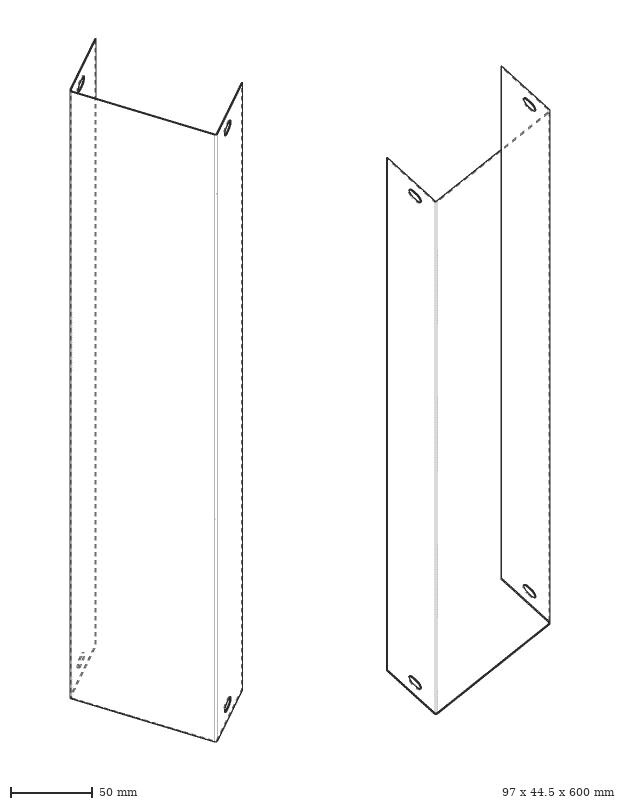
import cadquery as cq

width = 97.0
depth = 44.5
height = 600.0
sheet = 0.8
inner_bend_radius = 0.8
outer_bend_radius = inner_bend_radius + sheet

slot_length = 11.0
slot_height = 8.0
slot_from_web = 19.0
slot_from_end = 15.0


def make_channel():
    """U section with its web at the front and its open side at the back."""
    outer = (
        cq.Workplane("XY")
        .box(width, depth, height)
        .edges("|Z and <Y")
        .fillet(outer_bend_radius)
    )
    cavity = (
        cq.Workplane("XY")
        .box(width - 2 * sheet, depth, height)
        .edges("|Z and <Y")
        .fillet(inner_bend_radius)
        .translate((0, sheet, 0))
    )
    return outer.cut(cavity)


def make_slot_cutters():
    """Slots long in Y, running in X through both flanges."""
    slot_y = -depth / 2 + slot_from_web
    slot_z = height / 2 - slot_from_end
    return (
        cq.Workplane("YZ")
        .pushPoints([(slot_y, -slot_z), (slot_y, slot_z)])
        .slot2D(slot_length, slot_height)
        .extrude(width, both=True)
    )


result = make_channel().cut(make_slot_cutters())